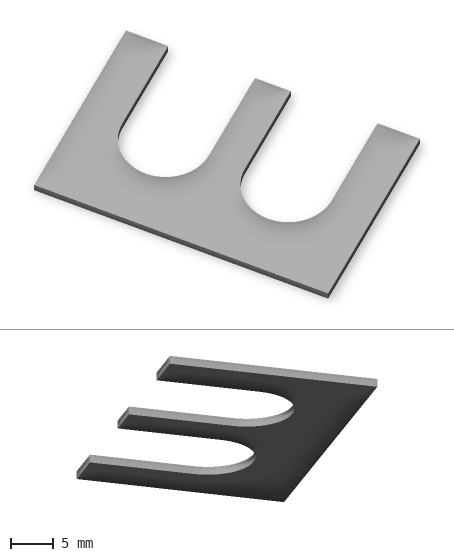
import cadquery as cq

width = 38.1
depth = 25.4
thickness = 1.0

slot_width = 11.25
slot_pitch = 15.9
slot_radius = slot_width / 2
slot_center_y = 0.0
back_edge_y = depth / 2


def open_slot(center_x):
    """Cutter for one slot running from its rounded end to the back edge."""
    left = center_x - slot_radius
    right = center_x + slot_radius
    return (
        cq.Workplane("XY")
        .moveTo(left, back_edge_y)
        .lineTo(left, slot_center_y)
        .threePointArc((center_x, slot_center_y - slot_radius), (right, slot_center_y))
        .lineTo(right, back_edge_y)
        .close()
        .extrude(thickness)
    )


result = cq.Workplane("XY").box(width, depth, thickness, centered=(True, True, False))
for side in (-1, 1):
    result = result.cut(open_slot(side * slot_pitch / 2))